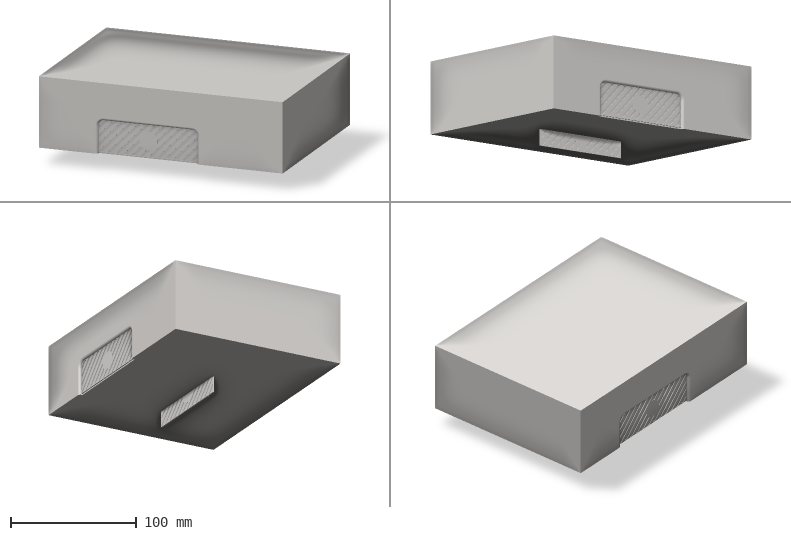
import cadquery as cq
import math

BLOCK_LENGTH = 207.5
BLOCK_WIDTH = 150.0
BLOCK_HEIGHT = 59.0
BLOCK_CENTER_X = 11.25

PLATE_LENGTH = 85.0
PLATE_HEIGHT = 27.0
PLATE_THICKNESS = 1.0
PLATE_CORNER_RADIUS = 5.0

GROOVE_WIDTH = 2.0
GROOVE_PITCH = 5.0
GROOVE_DEPTH = 0.5
GROOVE_ANGLE = 45.0
GROOVE_OFFSET = -0.25
GROOVE_MARGIN = 0.5
MEDALLION_DIAMETER = 15.0

PLATE_LIFT = 1.0
RECESS_HEIGHT = PLATE_LIFT + PLATE_HEIGHT
RIM_RADIUS = 2.0
RECESS_DEPTH = RIM_RADIUS + PLATE_THICKNESS

FRONT_FACE_Y = -BLOCK_WIDTH / 2
FRONT_PLATE = (FRONT_FACE_Y + RECESS_DEPTH, PLATE_LIFT + PLATE_HEIGHT / 2)
HANGING_PLATE = (PLATE_THICKNESS / 2, 0.0)


def arched_slab(length, bottom, top, radius, back_y, thickness):
    """Upright slab with its two upper corners rounded, reaching from back_y toward -Y."""
    return (
        cq.Workplane("XZ", origin=(0, back_y, (bottom + top) / 2))
        .rect(length, top - bottom)
        .extrude(thickness)
        .edges("|Y and >Z")
        .fillet(radius)
    )


def plate_blank(position):
    back_y, center_z = position
    bottom = center_z - PLATE_HEIGHT / 2
    top = center_z + PLATE_HEIGHT / 2
    return arched_slab(PLATE_LENGTH, bottom, top, PLATE_CORNER_RADIUS, back_y, PLATE_THICKNESS)


def make_grooves(position):
    """Diagonal bars, trimmed to the plate border and kept clear of the medallion."""
    back_y, center_z = position
    floor_y = back_y - PLATE_THICKNESS + GROOVE_DEPTH
    field = arched_slab(
        PLATE_LENGTH - 2 * GROOVE_MARGIN,
        center_z - PLATE_HEIGHT / 2 + GROOVE_MARGIN,
        center_z + PLATE_HEIGHT / 2 - GROOVE_MARGIN,
        PLATE_CORNER_RADIUS - GROOVE_MARGIN,
        floor_y,
        GROOVE_DEPTH,
    )
    plane = cq.Workplane("XZ", origin=(0, floor_y, center_z))
    medallion = plane.circle(MEDALLION_DIAMETER / 2).extrude(GROOVE_DEPTH)

    bar_length = math.hypot(PLATE_LENGTH, PLATE_HEIGHT)
    side_count = math.ceil(bar_length / 2 / GROOVE_PITCH)
    centers = [(0, GROOVE_OFFSET + i * GROOVE_PITCH) for i in range(-side_count, side_count + 1)]
    bars = (
        plane.transformed(rotate=(0, 0, GROOVE_ANGLE))
        .pushPoints(centers)
        .rect(bar_length, GROOVE_WIDTH)
        .extrude(GROOVE_DEPTH)
    )
    return bars.intersect(field).cut(medallion)


def make_plate(position):
    return plate_blank(position).cut(make_grooves(position))


def make_block():
    block = (
        cq.Workplane("XY")
        .center(BLOCK_CENTER_X, 0)
        .box(BLOCK_LENGTH, BLOCK_WIDTH, BLOCK_HEIGHT, centered=(True, True, False))
    )
    recess = arched_slab(
        PLATE_LENGTH, 0, RECESS_HEIGHT, PLATE_CORNER_RADIUS,
        FRONT_FACE_Y + RECESS_DEPTH, RECESS_DEPTH,
    )
    block = block.cut(recess)
    mouth_top = cq.selectors.NearestToPointSelector((0, FRONT_FACE_Y, RECESS_HEIGHT))
    block = block.edges(mouth_top).fillet(RIM_RADIUS)
    return block.cut(plate_blank(HANGING_PLATE))


block = make_block()
plates = [make_plate(position) for position in (FRONT_PLATE, HANGING_PLATE)]

result = cq.Compound.makeCompound([block.val(), *[plate.val() for plate in plates]])